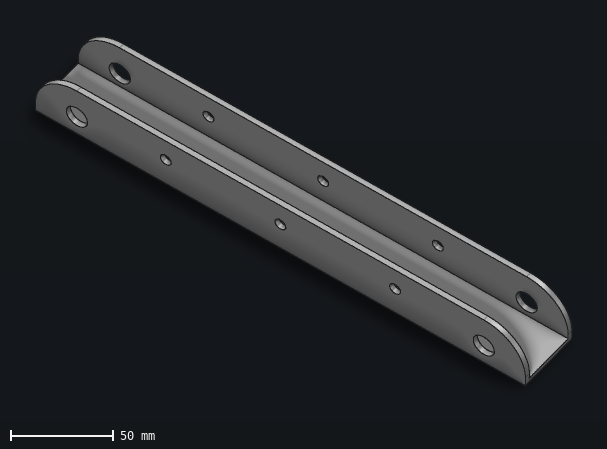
import cadquery as cq

length = 298.5
width = 38.2
height = 31.5
wall_thickness = 3.3
base_thickness = 3.0

end_radius = 25.5

pivot_diameter = 12.8
pivot_spacing = length - 2 * end_radius
pivot_height = 12.5
small_diameter = 6.5
small_spacing = 69.8
small_height = 17.5


def wall_holes(diameter, positions, hole_height):
    """Cutters along Y, long enough to pass through both walls."""
    return (
        cq.Workplane("XZ")
        .pushPoints([(x, hole_height) for x in positions])
        .circle(diameter / 2)
        .extrude(width, both=True)
    )


bar = (
    cq.Workplane("XY")
    .box(length, width, height, centered=(True, True, False))
    .edges("|Y and >Z")
    .fillet(end_radius)
)

channel_space = (
    cq.Workplane("XY")
    .workplane(offset=base_thickness)
    .rect(length, width - 2 * wall_thickness)
    .extrude(height)
)

pivot_holes = wall_holes(pivot_diameter, [-pivot_spacing / 2, pivot_spacing / 2], pivot_height)
small_holes = wall_holes(small_diameter, [-small_spacing, 0, small_spacing], small_height)

result = bar.cut(channel_space).cut(pivot_holes).cut(small_holes)